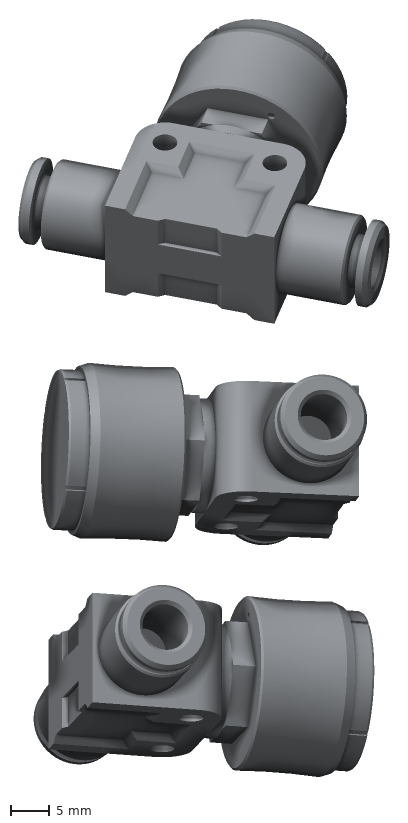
import cadquery as cq
import math


OVERALL_LENGTH = 47.4

BLOCK_WIDTH = 23.0
BLOCK_HEIGHT = 14.9
BLOCK_FRONT = -6.8
BLOCK_BACK = 11.55
CORNER_RADIUS = 4.05
MOUNT_HOLE_DIAMETER = 3.2

RECESS_DEPTH = 0.9
RECESS_WALL_RUN = 1.05
RECESS_WIDTH = 17.55
RECESS_SHOULDER = 3.3
RECESS_STEM_WIDTH = 8.9
RECESS_BACK = 8.6

NOTCH_WIDTH = 8.65
NOTCH_FLOOR_WIDTH = 7.0
NOTCH_DEPTH = 0.6
NOTCH_GAP = 4.95

SLEEVE_DIAMETER = 12.0
SLEEVE_END = 20.52
SLEEVE_CHAMFER = 0.3
PORT_NECK_DIAMETER = 7.1
FLARE_DIAMETER = 7.5
FLARE_LENGTH = 0.2
COLLAR_DIAMETER = 11.5
COLLAR_THICKNESS = 1.55
COLLAR_FACE_DIAMETER = 10.5
COLLAR_CHAMFER_LENGTH = 0.6
BORE_DIAMETER = 6.15
BORE_MOUTH_DIAMETER = 7.1

BONNET_NECK_DIAMETER = 15.0
BONNET_NECK_LENGTH = 1.5
HEX_ACROSS_FLATS = 14.2
HEX_LENGTH = 3.0

KNOB_DIAMETER = 23.0
KNOB_FRONT_DIAMETER = 22.85
KNOB_WAIST_DIAMETER = 22.55
KNOB_LENGTH = 12.7
KNOB_FRONT_CHAMFER = 0.3
KNOB_BACK_DIAMETER = 22.1
KNOB_BACK_TAPER_LENGTH = 1.25
CAP_DIAMETER = 21.0
CAP_LENGTH = 2.75
CAP_CHAMFER_LENGTH = 0.3
CAP_CHAMFER_RUN = 0.15
SLOT_COUNT = 4
SLOT_WIDTH = 0.7
SLOT_DEPTH = 0.3
SLOT_START_ANGLE = 42.6
DIMPLE_DIAMETER = 1.0
DIMPLE_DEPTH = 0.47
DIMPLE_RADIUS = 9.0
DIMPLE_ANGLE = 60.0

HALF_WIDTH = BLOCK_WIDTH / 2
HALF_HEIGHT = BLOCK_HEIGHT / 2
HALF_LENGTH = OVERALL_LENGTH / 2
BONNET_NECK_END = BLOCK_BACK + BONNET_NECK_LENGTH
KNOB_FRONT = BONNET_NECK_END + HEX_LENGTH
KNOB_BACK = KNOB_FRONT + KNOB_LENGTH
CAP_BACK = KNOB_BACK + CAP_LENGTH


def along_y(start):
    """Workplane at Y = start, facing +Y, with local x = X and local y = -Z."""
    return cq.Workplane("XZ", origin=(0, start, 0)).transformed(rotate=(180, 0, 0))


def make_block():
    """Block with two rounded back corners and a mounting hole centred on each rounding."""
    block = (
        cq.Workplane("XY")
        .box(BLOCK_WIDTH, BLOCK_BACK - BLOCK_FRONT, BLOCK_HEIGHT, centered=(True, False, True))
        .translate((0, BLOCK_FRONT, 0))
        .edges("|Z and >Y")
        .fillet(CORNER_RADIUS)
    )
    hole_x = HALF_WIDTH - CORNER_RADIUS
    hole_y = BLOCK_BACK - CORNER_RADIUS
    holes = (
        cq.Workplane("XY", origin=(0, 0, -HALF_HEIGHT))
        .pushPoints([(-hole_x, hole_y), (hole_x, hole_y)])
        .circle(MOUNT_HOLE_DIAMETER / 2)
        .extrude(BLOCK_HEIGHT)
    )
    return block.cut(holes)


def recess_bar(width, back):
    """One bar of the top recess, with sloped walls, open at the front of the block."""
    front = BLOCK_FRONT - 2 * RECESS_WALL_RUN
    wall_angle = math.degrees(math.atan(RECESS_WALL_RUN / RECESS_DEPTH))
    return (
        cq.Workplane("XY", origin=(0, (front + back) / 2, HALF_HEIGHT))
        .rect(width, back - front)
        .extrude(-RECESS_DEPTH, taper=wall_angle)
    )


def make_recess():
    """T-shaped recess: a wide bar and a narrower stem that reaches further back."""
    return recess_bar(RECESS_WIDTH, RECESS_SHOULDER).union(recess_bar(RECESS_STEM_WIDTH, RECESS_BACK))


def make_notch():
    """Tapered notch in the front face, from its ledge up through the top face."""
    return (
        cq.Workplane("XY", origin=(0, BLOCK_FRONT, NOTCH_GAP / 2))
        .polyline([
            (-NOTCH_WIDTH / 2, 0),
            (NOTCH_WIDTH / 2, 0),
            (NOTCH_FLOOR_WIDTH / 2, NOTCH_DEPTH),
            (-NOTCH_FLOOR_WIDTH / 2, NOTCH_DEPTH),
        ])
        .close()
        .extrude(HALF_HEIGHT - NOTCH_GAP / 2)
    )


def make_port():
    """Tube port on the +X side, turned about the X axis, with a blind bore."""
    collar_start = HALF_LENGTH - COLLAR_THICKNESS
    bore_chamfer = (BORE_MOUTH_DIAMETER - BORE_DIAMETER) / 2
    bore_bottom = HALF_WIDTH
    return (
        cq.Workplane("XY")
        .polyline([
            (0, 0),
            (0, SLEEVE_DIAMETER / 2),
            (SLEEVE_END - SLEEVE_CHAMFER, SLEEVE_DIAMETER / 2),
            (SLEEVE_END, SLEEVE_DIAMETER / 2 - SLEEVE_CHAMFER),
            (SLEEVE_END, PORT_NECK_DIAMETER / 2),
            (collar_start - FLARE_LENGTH, PORT_NECK_DIAMETER / 2),
            (collar_start, FLARE_DIAMETER / 2),
            (collar_start, COLLAR_DIAMETER / 2),
            (HALF_LENGTH - COLLAR_CHAMFER_LENGTH, COLLAR_DIAMETER / 2),
            (HALF_LENGTH, COLLAR_FACE_DIAMETER / 2),
            (HALF_LENGTH, BORE_MOUTH_DIAMETER / 2),
            (HALF_LENGTH - bore_chamfer, BORE_DIAMETER / 2),
            (bore_bottom, BORE_DIAMETER / 2),
            (bore_bottom, 0),
        ])
        .close()
        .revolve(360, (0, 0, 0), (1, 0, 0))
    )


def make_bonnet():
    """Round neck with a hexagon behind it, whose corners point along X."""
    neck = along_y(BLOCK_BACK).circle(BONNET_NECK_DIAMETER / 2).extrude(BONNET_NECK_LENGTH)
    across_corners = HEX_ACROSS_FLATS / math.cos(math.radians(30))
    hexagon = along_y(BONNET_NECK_END).polygon(6, across_corners).extrude(HEX_LENGTH)
    return neck.union(hexagon)


def make_housing():
    """Block, ports and bonnet as one body."""
    recess = make_recess()
    notch = make_notch()
    port = make_port()
    return (
        make_block()
        .cut(recess)
        .cut(recess.mirror("XY"))
        .cut(notch)
        .cut(notch.mirror("XY"))
        .union(port)
        .union(port.mirror("YZ"))
        .union(make_bonnet())
    )


def make_knob_blank():
    """Knob with a slightly waisted grip and a smaller cap, turned about the Y axis."""
    grip_start = KNOB_FRONT + KNOB_FRONT_CHAMFER
    grip_end = KNOB_BACK - KNOB_BACK_TAPER_LENGTH
    return (
        cq.Workplane("XY")
        .moveTo(0, KNOB_FRONT)
        .lineTo(KNOB_FRONT_DIAMETER / 2 - KNOB_FRONT_CHAMFER, KNOB_FRONT)
        .lineTo(KNOB_FRONT_DIAMETER / 2, grip_start)
        .threePointArc((KNOB_WAIST_DIAMETER / 2, (grip_start + grip_end) / 2), (KNOB_DIAMETER / 2, grip_end))
        .lineTo(KNOB_BACK_DIAMETER / 2, KNOB_BACK)
        .lineTo(CAP_DIAMETER / 2, KNOB_BACK)
        .lineTo(CAP_DIAMETER / 2, CAP_BACK - CAP_CHAMFER_LENGTH)
        .lineTo(CAP_DIAMETER / 2 - CAP_CHAMFER_RUN, CAP_BACK)
        .lineTo(0, CAP_BACK)
        .close()
        .revolve(360, (0, 0, 0), (0, 1, 0))
    )


def make_cap_slot():
    """Narrow groove along the rim of the cap, on the +X side."""
    return (
        cq.Workplane("XY")
        .box(2 * SLOT_DEPTH, CAP_LENGTH, SLOT_WIDTH, centered=(True, False, True))
        .translate((CAP_DIAMETER / 2, KNOB_BACK, 0))
    )


def make_knob():
    """Knob with evenly spaced cap grooves and a small dimple in its front face."""
    knob = make_knob_blank()
    for index in range(SLOT_COUNT):
        angle = SLOT_START_ANGLE + index * 360 / SLOT_COUNT
        knob = knob.cut(make_cap_slot().rotate((0, 0, 0), (0, 1, 0), -angle))
    dimple = (
        along_y(KNOB_FRONT)
        .center(DIMPLE_RADIUS, 0)
        .circle(DIMPLE_DIAMETER / 2)
        .extrude(DIMPLE_DEPTH)
        .rotate((0, 0, 0), (0, 1, 0), -DIMPLE_ANGLE)
    )
    return knob.cut(dimple)


housing = make_housing()
knob = make_knob()

result = cq.Compound.makeCompound([housing.solids().val(), knob.solids().val()])